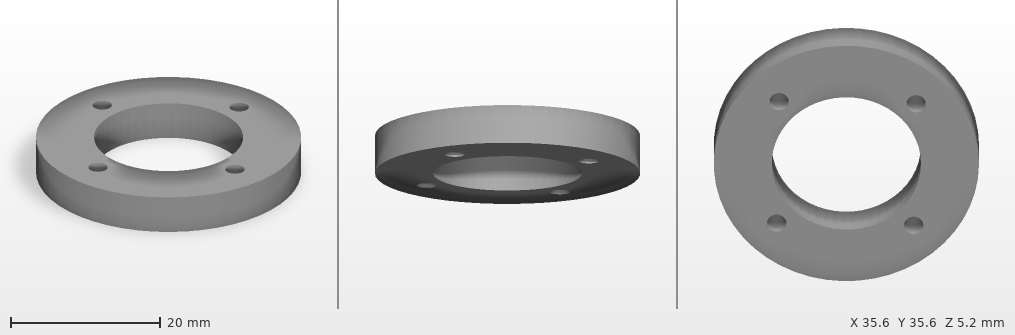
import cadquery as cq

outer_diameter = 35.6
bore_diameter = 20.0
thickness = 5.2

bolt_circle_radius = 13.0
bolt_hole_diameter = 2.6
bolt_hole_count = 4
full_turn = 360

ring = (
    cq.Workplane("XY")
    .circle(outer_diameter / 2)
    .circle(bore_diameter / 2)
    .extrude(thickness)
)

bolt_holes = (
    cq.Workplane("XY")
    .polarArray(bolt_circle_radius, 0, full_turn, bolt_hole_count)
    .circle(bolt_hole_diameter / 2)
    .extrude(thickness)
)

result = ring.cut(bolt_holes)